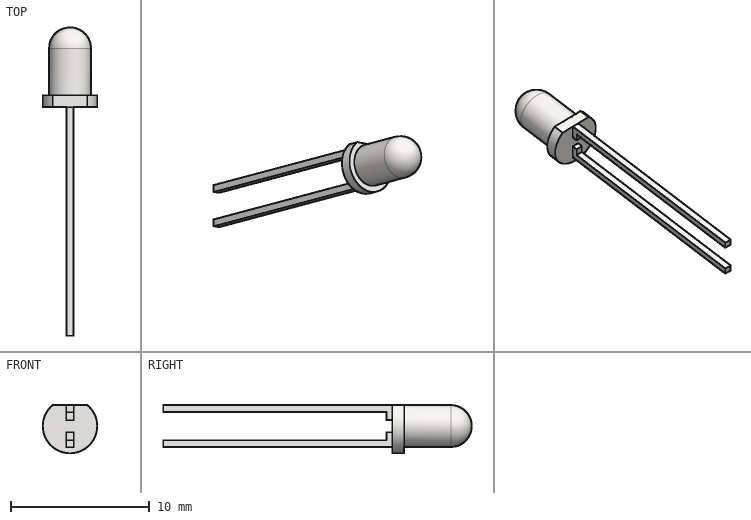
import cadquery as cq

total_length = 22.23

flange_diameter = 3.93
flange_radius = flange_diameter / 2
flange_thickness = 0.87
barrel_diameter = 3.05
barrel_radius = barrel_diameter / 2
barrel_length = 3.35
dome_start = flange_thickness + barrel_length
lens_length = dome_start + barrel_radius

lead_length = total_length - lens_length
lead_width = 0.51
lead_pitch = barrel_diameter - lead_width
foot_thickness = 0.4
foot_gap = 0.87


def make_flange():
    """Disc with one flat on top, level with the top of the barrel."""
    disc = cq.Workplane("XZ").circle(flange_radius).extrude(-flange_thickness)
    keep_height = flange_radius + barrel_radius
    keep = (
        cq.Workplane("XY")
        .box(2 * flange_radius, flange_thickness, keep_height, centered=(True, False, False))
        .translate((0, 0, -flange_radius))
    )
    return disc.intersect(keep)


def make_lens():
    """Flange, barrel and dome as one solid."""
    barrel_and_dome = (
        cq.Workplane("XY")
        .lineTo(barrel_radius, 0)
        .lineTo(barrel_radius, dome_start)
        .radiusArc((0, lens_length), -barrel_radius)
        .close()
        .revolve(360, (0, 0, 0), (0, 1, 0))
    )
    return make_flange().union(barrel_and_dome)


def make_lead(side):
    """L-shaped lead above (side = 1) or below (side = -1) the Y axis, its foot turned inward."""
    outer_z = side * (lead_pitch + lead_width) / 2
    inner_z = side * (lead_pitch - lead_width) / 2
    foot_z = side * foot_gap / 2
    outline = [
        (0, outer_z),
        (-lead_length, outer_z),
        (-lead_length, inner_z),
        (-foot_thickness, inner_z),
        (-foot_thickness, foot_z),
        (0, foot_z),
    ]
    return cq.Workplane("YZ").polyline(outline).close().extrude(lead_width / 2, both=True)


lens = make_lens()
leads = [make_lead(side).val() for side in (1, -1)]

result = cq.Compound.makeCompound([lens.val(), *leads])